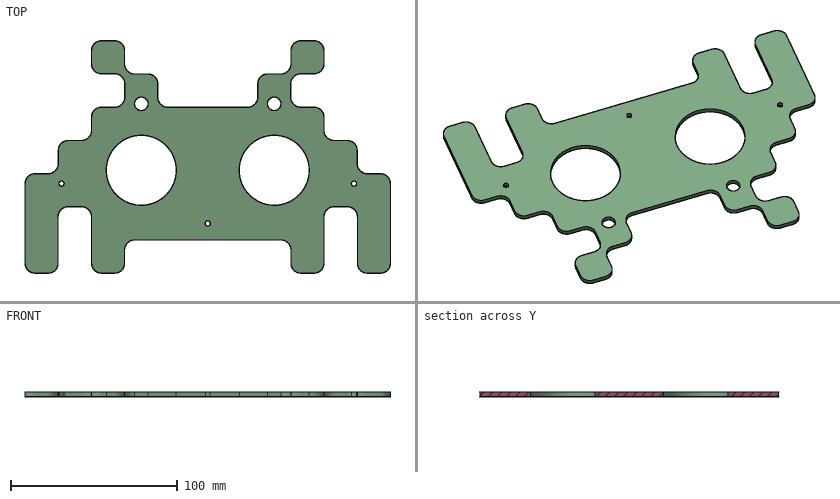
import cadquery as cq
import math

CELL = 20.0
THICKNESS = 3.0
CORNER_RADIUS = 6.0

EYE_DIAMETER = 42.0
EYE_X = 2 * CELL
EYE_Y = -8.0

ANTENNA_HOLE_DIAMETER = 8.0
ANTENNA_HOLE_X = EYE_X
ANTENNA_HOLE_Y = 32.0

SCREW_HOLE_DIAMETER = 3.0
ARM_SCREW_X = 88.0
ARM_SCREW_Y = -16.0
CENTER_SCREW_Y = -40.0

RIGHT_HALF_CORNERS = [
    (1.5, 1.5), (1.5, 2.5), (2.5, 2.5), (2.5, 3.5),
    (3.5, 3.5), (3.5, 2.5), (2.5, 2.5), (2.5, 1.5),
    (3.5, 1.5), (3.5, 0.5), (4.5, 0.5), (4.5, -0.5),
    (5.5, -0.5), (5.5, -3.5), (4.5, -3.5), (4.5, -1.5),
    (3.5, -1.5), (3.5, -3.5), (2.5, -3.5), (2.5, -2.5),
]


def outline_corners():
    """Sharp corners of the whole symmetric silhouette, in millimetres."""
    right = [(x * CELL, y * CELL) for x, y in RIGHT_HALF_CORNERS]
    left = [(-x, y) for x, y in reversed(right)]
    return right + left


def point_towards(start, target, distance):
    """Point at the given distance from start along the line to target."""
    fraction = distance / math.dist(start, target)
    return tuple(s + fraction * (t - s) for s, t in zip(start, target))


def rounded_corner(previous, corner, following, radius):
    """Start, middle and end of the arc that rounds a right-angled corner."""
    start = point_towards(corner, previous, radius)
    end = point_towards(corner, following, radius)
    arc_center = tuple(s + e - c for s, e, c in zip(start, end, corner))
    middle = point_towards(arc_center, corner, radius)
    return start, middle, end


def rounded_plate(corners, radius, thickness):
    """Plate whose outline has all its corners rounded."""
    arcs = []
    for index, corner in enumerate(corners):
        following = corners[(index + 1) % len(corners)]
        arcs.append(rounded_corner(corners[index - 1], corner, following, radius))

    first_start = arcs[0][0]
    outline = cq.Workplane("XY").moveTo(*first_start)
    for index, (start, middle, end) in enumerate(arcs):
        if index > 0:
            outline = outline.lineTo(*start)
        outline = outline.threePointArc(middle, end)
    return outline.close().extrude(thickness)


def drill(plate, centers, diameter):
    """Cut round through holes at the given centers."""
    cutters = cq.Workplane("XY").pushPoints(centers).circle(diameter / 2).extrude(THICKNESS)
    return plate.cut(cutters)


def mirrored_pair(x, y):
    """The given point and its mirror image across the YZ plane."""
    return [(-x, y), (x, y)]


screw_centers = mirrored_pair(ARM_SCREW_X, ARM_SCREW_Y) + [(0, CENTER_SCREW_Y)]

result = rounded_plate(outline_corners(), CORNER_RADIUS, THICKNESS)
result = drill(result, mirrored_pair(EYE_X, EYE_Y), EYE_DIAMETER)
result = drill(result, mirrored_pair(ANTENNA_HOLE_X, ANTENNA_HOLE_Y), ANTENNA_HOLE_DIAMETER)
result = drill(result, screw_centers, SCREW_HOLE_DIAMETER)